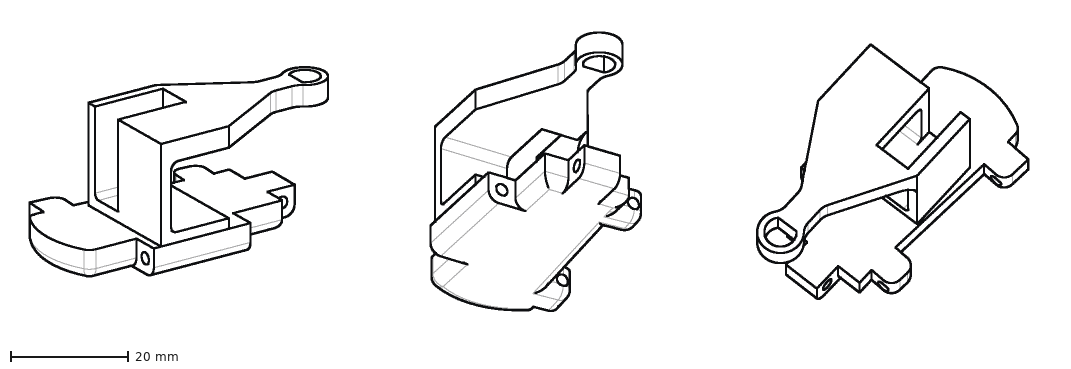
import cadquery as cq
import math


base_thickness = 5.57
base_half_width = 9.35
bottom_fillet = 2.0
front_y = -13.67
front_center_x = 0.1
front_radius = 17.4
left_corner_radius = 1.7
right_corner_radius = 2.0
back_left_x = -7.07
back_y = 28.75
back_tilt = 0.8

lean = 3.9
lean_start_y = -7.95
lug_width = 5.9
lug_reach = 4.81
lug_corner_radius = 2.0
upper_lug_start = 27.8

block_right_x = 14.63
block_front_y = -1.5
block_length = 20.0
tab_left_x = -2.24
tab_width = 7.0
tab_length = 5.6

pin_hole_diameter = 2.2
pin_hole_z = 2.85
block_hole_x = 12.03
lug_hole_offset = 2.67
tab_hole_y = 31.65

overlap = 3.0

bracket_height = 19.0
bracket_width = 22.1
bracket_depth = 14.0
side_wall = 2.05
front_wall = 2.1
floor_thickness = 1.95
arm_thickness = 4.0
slot_width = 7.0
inner_fillet = 1.0
roof_fillet = 1.5
arm_fillet = 3.0
taper_angle = 30.0
stem_width = 5.0
stem_fillet = 3.0
ring_outer_radius = 4.0
ring_hole_radius = 2.75
ring_y = 37.19
ring_flat_y = 35.35

bracket_left_x = block_right_x - bracket_width
bracket_mid_x = block_right_x - bracket_width / 2
bracket_top_z = base_thickness + bracket_height
floor_top_z = base_thickness + floor_thickness
arm_bottom_z = bracket_top_z - arm_thickness
slot_left_x = bracket_left_x + side_wall
slot_right_x = slot_left_x + slot_width


def box(x0, x1, y0, y1, z0, z1):
    """Box given by its limits along each axis."""
    return cq.Workplane("XY").box(x1 - x0, y1 - y0, z1 - z0, centered=False).translate((x0, y0, z0))


def back_edge_y(x):
    """Y of the slightly tilted back edge at a given X."""
    return back_y - x * math.tan(math.radians(back_tilt))


def front_arc_y(x):
    """Y of the bowed front edge at a given X."""
    return front_y + front_radius - math.sqrt(front_radius**2 - (x - front_center_x) ** 2)


def plate_front():
    """Bowed front of the plate; its rim fillet runs out square through the plain left side."""
    arc_center_y = front_y + front_radius
    arc_end_x = front_center_x - math.sqrt(front_radius**2 - (arc_center_y - lean_start_y) ** 2)
    left_corner_y = front_arc_y(-base_half_width)
    right_corner_y = front_arc_y(base_half_width)
    plate = (
        cq.Workplane("XY")
        .moveTo(arc_end_x, lean_start_y)
        .threePointArc((front_center_x, front_y), (base_half_width, right_corner_y))
        .lineTo(base_half_width, lean_start_y)
        .close()
        .extrude(base_thickness)
    )
    right_corner = cq.selectors.NearestToPointSelector((base_half_width, right_corner_y, base_thickness / 2))
    plate = plate.edges(right_corner).fillet(right_corner_radius)
    trimmed = plate.cut(box(arc_end_x, -base_half_width, front_y, lean_start_y, 0, base_thickness))
    left_corner = cq.selectors.NearestToPointSelector((-base_half_width, left_corner_y, base_thickness / 2))
    trimmed = trimmed.edges(left_corner).fillet(left_corner_radius)
    return plate.faces("<Z").edges("not >Y").fillet(bottom_fillet).intersect(trimmed)


def plate_back():
    """Rest of the plate: leaning left edge and tilted back edge with a rounded bottom rim."""
    lean_end_y = lean_start_y + (back_left_x + base_half_width) / math.tan(math.radians(lean))
    plate = (
        cq.Workplane("XY")
        .polyline([
            (-base_half_width, lean_start_y),
            (base_half_width, lean_start_y),
            (base_half_width, back_edge_y(base_half_width)),
            (back_left_x, back_edge_y(back_left_x)),
            (back_left_x, lean_end_y),
        ])
        .close()
        .extrude(base_thickness)
    )
    return plate.faces("<Z").edges("not <Y").fillet(bottom_fillet)


def along_leaning_edge(body):
    """Move a body from the lug frame (edge along +Y, outward along -X) to the leaning edge."""
    return body.rotate((0, 0, 0), (0, 0, 1), -lean).translate((-base_half_width, lean_start_y, 0))


def upper_lug():
    lug = box(-lug_reach, overlap, upper_lug_start, upper_lug_start + lug_width, 0, base_thickness)
    lug = lug.edges("|Z and <X").fillet(lug_corner_radius)
    return along_leaning_edge(lug.faces("<Z").edges("not >X").fillet(bottom_fillet))


def lower_lug():
    lug = box(-lug_reach, overlap, 0, lug_width, 0, base_thickness)
    lug = lug.edges("|Z and <X and >Y").fillet(lug_corner_radius)
    return along_leaning_edge(lug.faces("<Z").edges("not (>X or <Y)").fillet(bottom_fillet))


def hinge_block():
    block = box(base_half_width - overlap, block_right_x,
                block_front_y, block_front_y + block_length, 0, base_thickness)
    return block.edges("<Z and >X").fillet(bottom_fillet)


def tab():
    block = box(tab_left_x, tab_left_x + tab_width, back_y - overlap, back_y + tab_length, 0, base_thickness)
    block = block.edges("<Z and >Y").fillet(bottom_fillet)
    return block.rotate((0, back_y, 0), (0, back_y, 1), -back_tilt)


def pin_hole(start, length):
    """Pin hole along +Y from a start point."""
    drill = cq.Solid.makeCylinder(pin_hole_diameter / 2, length, cq.Vector(*start), cq.Vector(0, 1, 0))
    return cq.Workplane(drill)


def base():
    body = plate_front()
    for part in (plate_back(), upper_lug(), lower_lug(), hinge_block(), tab()):
        body = body.union(part)
    body = body.cut(along_leaning_edge(
        pin_hole((-lug_hole_offset, 0, pin_hole_z), upper_lug_start + lug_width)
    ))
    body = body.cut(pin_hole((block_hole_x, block_front_y, pin_hole_z), block_length))
    tab_drill = cq.Workplane("YZ", origin=(tab_left_x - overlap, tab_hole_y, pin_hole_z))
    return body.cut(tab_drill.circle(pin_hole_diameter / 2).extrude(tab_width + 2 * overlap))


def bracket_outline():
    """Plan outline of the bracket as a full-height prism: housing, taper, stem and ring."""
    half_width = bracket_width / 2
    half_stem = stem_width / 2
    taper_end_y = bracket_depth + (half_width - half_stem) / math.tan(math.radians(taper_angle))
    body = (
        cq.Workplane("XY")
        .polyline([
            (-half_width, 0),
            (half_width, 0),
            (half_width, bracket_depth),
            (half_stem, taper_end_y),
            (half_stem, ring_y),
            (-half_stem, ring_y),
            (-half_stem, taper_end_y),
            (-half_width, bracket_depth),
        ])
        .close()
        .extrude(bracket_height)
    )
    body = body.union(cq.Workplane("XY").center(0, ring_y).circle(ring_outer_radius).extrude(bracket_height))
    neck_y = ring_y - math.sqrt(ring_outer_radius**2 - half_stem**2)
    for y in (taper_end_y, neck_y):
        for side in (-half_stem, half_stem):
            corner = cq.selectors.NearestToPointSelector((side, y, bracket_height / 2))
            body = body.edges(corner).fillet(stem_fillet)
    hole = cq.Workplane("XY").center(0, ring_y).circle(ring_hole_radius).extrude(bracket_height)
    hole = hole.intersect(box(
        -ring_hole_radius, ring_hole_radius, ring_flat_y, ring_y + ring_hole_radius, 0, bracket_height
    ))
    return body.cut(hole).translate((bracket_mid_x, 0, base_thickness))


def under_arm_space():
    """Space below the arm, behind the housing, with a fillet where the arm leaves the side wall."""
    far_y = ring_y + ring_outer_radius
    space = box(bracket_left_x, block_right_x, bracket_depth, far_y, base_thickness, arm_bottom_z)
    return space.edges(">Z and <Y").fillet(arm_fillet)


def inner_space():
    """Room inside the housing, open to the right and back."""
    far_y = bracket_depth + arm_fillet
    space = box(slot_left_x, block_right_x, front_wall, far_y, floor_top_z, arm_bottom_z)
    space = space.edges("|X and <Y and >Z").fillet(roof_fillet)
    space = space.edges("|X and <Y and <Z").fillet(inner_fillet)
    left_floor_shape = box(slot_left_x, block_right_x, front_wall, far_y, floor_top_z, arm_bottom_z)
    return space.intersect(left_floor_shape.edges("|Y and <X and <Z").fillet(inner_fillet))


def slot():
    """Opening through the front wall and roof beside the left wall."""
    opening = box(slot_left_x, slot_right_x, 0, bracket_depth, floor_top_z, bracket_top_z)
    return opening.edges("|Y and <X and <Z").fillet(inner_fillet)


def bracket():
    return bracket_outline().cut(under_arm_space()).cut(inner_space()).cut(slot())


result = cq.Compound.makeCompound([base().val(), bracket().val()])